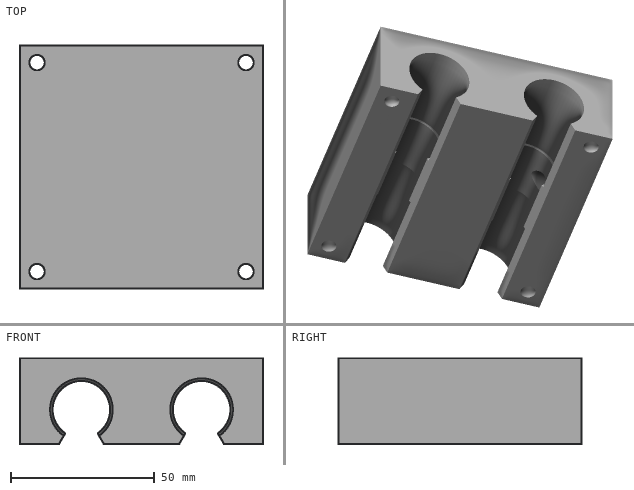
import cadquery as cq
import math

width = 85.0
depth = 85.0
height = 30.0

bore_spacing = 42.0
bore_center_x = bore_spacing / 2
bore_center_z = 12.0
seat_diameter = 22.0
stop_diameter = 20.0
seat_length = 32.0

mouth_width = 15.6
mouth_side_angle = 60.0

mount_hole_diameter = 5.3
mount_hole_spacing = 73.0

side_hole_diameter = 6.92
side_hole_z = 17.0


def make_block():
    return cq.Workplane("XY").box(width, depth, height, centered=(True, True, False))


def make_cylinder_along_y(diameter, center_x, y_start, length):
    return cq.Workplane("XY").add(
        cq.Solid.makeCylinder(
            diameter / 2,
            length,
            cq.Vector(center_x, y_start, bore_center_z),
            cq.Vector(0, 1, 0),
        )
    )


def make_mouth(center_x):
    """Triangular prism whose sides narrow upward and meet inside the bore."""
    half_width = mouth_width / 2
    apex_z = half_width * math.tan(math.radians(mouth_side_angle))
    return (
        cq.Workplane("XZ")
        .moveTo(center_x - half_width, 0)
        .lineTo(center_x + half_width, 0)
        .lineTo(center_x, apex_z)
        .close()
        .extrude(depth / 2, both=True)
    )


def make_bore(center_x):
    """Through bore with a wider bearing seat at each end, open to the underside."""
    bore = make_cylinder_along_y(stop_diameter, center_x, -depth / 2, depth)
    for seat_start in (-depth / 2, depth / 2 - seat_length):
        bore = bore.union(make_cylinder_along_y(seat_diameter, center_x, seat_start, seat_length))
    return bore.union(make_mouth(center_x))


def make_mount_holes():
    return (
        cq.Workplane("XY")
        .rect(mount_hole_spacing, mount_hole_spacing, forConstruction=True)
        .vertices()
        .circle(mount_hole_diameter / 2)
        .extrude(height)
    )


def make_side_hole():
    """Hole along X that ends on the axis plane of the bore nearest the -X face."""
    return (
        cq.Workplane("YZ", origin=(-width / 2, 0, side_hole_z))
        .circle(side_hole_diameter / 2)
        .extrude(width / 2 - bore_center_x)
    )


result = make_block()
for bore_x in (-bore_center_x, bore_center_x):
    result = result.cut(make_bore(bore_x))
result = result.cut(make_mount_holes())
result = result.cut(make_side_hole())